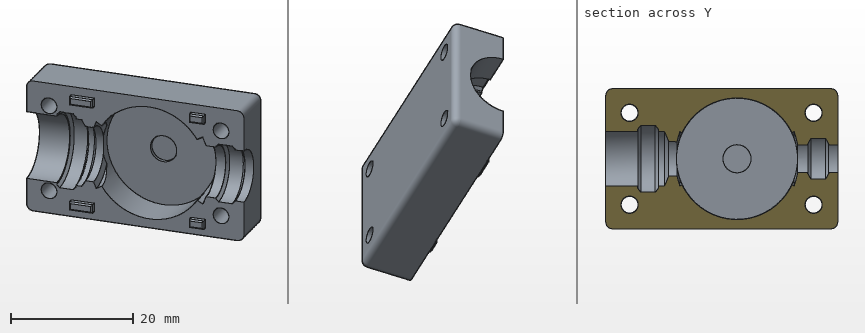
import cadquery as cq
import math


LENGTH = 38.1
HEIGHT = 23.05
TOTAL_DEPTH = 9.85
TAB_HEIGHT = 1.0
BODY_DEPTH = TOTAL_DEPTH - TAB_HEIGHT
EDGE_RADIUS = 1.2

CAVITY_X = 21.55
CAVITY_RADIUS = 19.85 / 2
CAVITY_DEPTH = 6.5
RECESS_RADIUS = 4.6 / 2
RECESS_DEPTH = 0.65

FLARE_RADIUS = 5.92
FLARE_OFFSET = 9.33
FLARE_OUTER_ANGLE = math.radians(67)
FLARE_INNER_ANGLE = math.radians(30)

LARGE_BORE_RADIUS = 5.9
LARGE_GROOVE_RADIUS = 6.72
LARGE_GROOVE_START = 5.3
LARGE_GROOVE_END = 8.65
TAPER_START = 9.65
TAPER_END = 10.35
NECK_RADIUS = 4.8

SMALL_BORE_RADIUS = 4.52
SMALL_GROOVE_RADIUS = 5.11
SMALL_GROOVE_START = 33.17
SMALL_GROOVE_END = 36.55
GROOVE_CHAMFER = 0.5

HOLE_DIAMETER = 2.75
HOLE_X = (3.95, 34.1)
HOLE_Z = 7.53

TABS = ((9.85, 4.05), (30.1, 2.55))
TAB_Z = 9.32
TAB_WIDTH = 1.5
TAB_CHAMFER = 0.25


def make_body():
    block = cq.Workplane("XY").box(LENGTH, BODY_DEPTH, HEIGHT, centered=(False, False, True))
    return block.edges("|Y").fillet(EDGE_RADIUS).faces(">Y").edges().fillet(EDGE_RADIUS)


def pocket(x, z, radius, depth):
    """Cylinder reaching from the mating face into the body."""
    return cq.Workplane("XZ", origin=(x, 0, z)).circle(radius).extrude(-depth)


def revolve_about_cable_axis(profile):
    """Solid of revolution from (x, radius) points, closed along the cable axis."""
    first_x = profile[0][0]
    last_x, last_radius = profile[-1]
    points = [(first_x, 0)] + profile
    if last_radius > 0:
        points.append((last_x, 0))
    return cq.Workplane("XY").polyline(points).close().revolve(360, (0, 0), (1, 0))


def groove(start, end, radius):
    """Ring groove whose outer corners are chamfered."""
    return revolve_about_cable_axis([
        (start, radius - GROOVE_CHAMFER),
        (start + GROOVE_CHAMFER, radius),
        (end - GROOVE_CHAMFER, radius),
        (end, radius - GROOVE_CHAMFER),
    ])


def flare(side, bore_radius):
    """V-shaped mouth around the channel; side is -1 for left and +1 for right."""
    outer_run = (FLARE_RADIUS - bore_radius) / math.tan(FLARE_OUTER_ANGLE)
    inner_run = FLARE_RADIUS / math.tan(FLARE_INNER_ANGLE)
    tip_x = CAVITY_X + side * FLARE_OFFSET
    return revolve_about_cable_axis([
        (tip_x + side * outer_run, bore_radius),
        (tip_x, FLARE_RADIUS),
        (tip_x - side * inner_run, 0),
    ])


def cut_large_channel(part):
    channel = revolve_about_cable_axis([
        (0, LARGE_BORE_RADIUS),
        (TAPER_START, LARGE_BORE_RADIUS),
        (TAPER_END, NECK_RADIUS),
        (CAVITY_X, NECK_RADIUS),
    ])
    ring = groove(LARGE_GROOVE_START, LARGE_GROOVE_END, LARGE_GROOVE_RADIUS)
    return part.cut(channel).cut(ring).cut(flare(-1, NECK_RADIUS))


def cut_small_channel(part):
    channel = revolve_about_cable_axis([
        (CAVITY_X, SMALL_BORE_RADIUS),
        (LENGTH, SMALL_BORE_RADIUS),
    ])
    ring = groove(SMALL_GROOVE_START, SMALL_GROOVE_END, SMALL_GROOVE_RADIUS)
    return part.cut(channel).cut(ring).cut(flare(1, SMALL_BORE_RADIUS))


def make_tab(x, z, length):
    """Chamfered tab standing on the mating face."""
    block = cq.Workplane("XZ", origin=(x, 0, z)).rect(length, TAB_WIDTH).extrude(TAB_HEIGHT)
    return block.faces("<Y").chamfer(TAB_CHAMFER)


result = make_body()
result = result.cut(pocket(CAVITY_X, 0, CAVITY_RADIUS, CAVITY_DEPTH))
result = result.cut(pocket(CAVITY_X, 0, RECESS_RADIUS, CAVITY_DEPTH + RECESS_DEPTH))
result = cut_large_channel(result)
result = cut_small_channel(result)

for z in (-HOLE_Z, HOLE_Z):
    for x in HOLE_X:
        result = result.cut(pocket(x, z, HOLE_DIAMETER / 2, BODY_DEPTH))

for tab_x, tab_length in TABS:
    for z in (-TAB_Z, TAB_Z):
        result = result.union(make_tab(tab_x, z, tab_length))